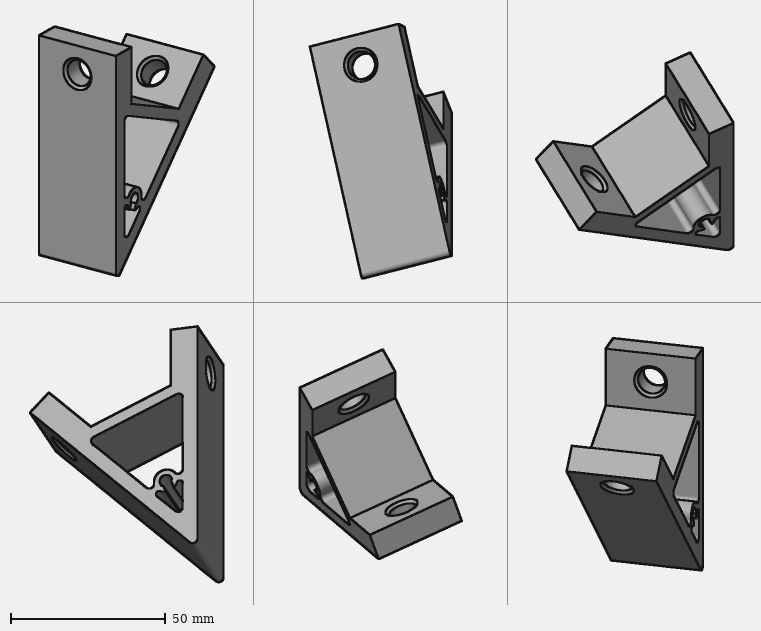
import cadquery as cq
import math

width = 30.2
height = 77.9
half_angle = 22.5
sine = math.sin(math.radians(half_angle))
cosine = math.cos(math.radians(half_angle))

pad_thickness = 9.0
pad_length = 20.0
wall_thickness = 5.0
web_thickness = 4.0
corner_radius = 1.5

hole_diameter = 9.0
hole_chamfer = 1.0
hole_from_end = 10.0

ring_height = 28.0
ring_radius = 4.0
ring_bore_radius = 2.0
slot_width = 2.95
upper_valley_radius = corner_radius
lower_valley_radius = 1.0

tip_loss = corner_radius * (1 / math.tan(math.radians(half_angle)) - 1)
leg_length = height + tip_loss


def leg_point(side, along, depth):
    """Profile point at a distance along a leg's outer face and a depth inside that face."""
    return (side * (along * sine - depth * cosine), along * cosine + depth * sine)


def prism(points):
    return cq.Workplane("YZ").polyline(points).close().extrude(width / 2, both=True)


def cylinder(center, radius):
    return cq.Workplane("YZ").center(*center).circle(radius).extrude(width / 2, both=True)


def make_frame():
    """Both legs and the cross web, with a rounded triangular window."""
    pad_start = leg_length - pad_length
    half_outline = [
        (leg_length, 0),
        (leg_length, pad_thickness),
        (pad_start, pad_thickness),
    ]
    right = [leg_point(1, *place) for place in half_outline]
    left = [leg_point(-1, *place) for place in reversed(half_outline)]
    body = prism([(0, 0)] + right + left)
    body = body.edges("|X").edges("<Z").fillet(corner_radius)

    window_top = leg_point(1, pad_start, pad_thickness)[1] - web_thickness
    window_tip = wall_thickness / sine
    window_half = (window_top - window_tip) * sine / cosine
    window = prism([(0, window_tip), (window_half, window_top), (-window_half, window_top)])
    return body.cut(window.edges("|X").fillet(corner_radius))


def valley_place(radius, direction):
    """Distance along the leg, and depth, of a round touching both the wall and the ring."""
    ring_along = ring_height * cosine
    ring_depth = ring_height * sine
    depth = wall_thickness + radius
    offset = math.sqrt((ring_radius + radius) ** 2 - (ring_depth - depth) ** 2)
    return ring_along + direction * offset, depth


def make_ring():
    """Slotted ring joined to each leg by a neck with concave rounds above and below."""
    center = (0, ring_height)
    ring = cylinder(center, ring_radius)
    upper_along, upper_depth = valley_place(upper_valley_radius, 1)
    lower_along, lower_depth = valley_place(lower_valley_radius, -1)
    root_depth = wall_thickness / 2
    for side in (-1, 1):
        upper = leg_point(side, upper_along, upper_depth)
        lower = leg_point(side, lower_along, lower_depth)
        upper_root = leg_point(side, upper_along, root_depth)
        lower_root = leg_point(side, lower_along, root_depth)
        neck = prism([center, upper, upper_root, lower_root, lower])
        neck = neck.cut(cylinder(upper, upper_valley_radius))
        neck = neck.cut(cylinder(lower, lower_valley_radius))
        ring = ring.union(neck)

    slot_bottom = ring_height - ring_radius
    slot = prism([
        (-slot_width / 2, slot_bottom),
        (slot_width / 2, slot_bottom),
        (slot_width / 2, ring_height),
        (-slot_width / 2, ring_height),
    ])
    return ring.cut(cylinder(center, ring_bore_radius)).cut(slot)


def make_hole_cutter():
    """Hole through the front pad, chamfered on both faces."""
    bore = hole_diameter / 2
    rim = bore + hole_chamfer
    cutter = (
        cq.Workplane("XY")
        .polyline([
            (0, 0),
            (rim, 0),
            (bore, hole_chamfer),
            (bore, pad_thickness - hole_chamfer),
            (rim, pad_thickness),
            (0, pad_thickness),
        ])
        .close()
        .revolve(360, (0, 0, 0), (0, 1, 0))
    )
    upright = cutter.translate((0, 0, leg_length - hole_from_end))
    return upright.rotate((0, 0, 0), (1, 0, 0), half_angle)


front_hole = make_hole_cutter()
bracket = make_frame().union(make_ring())
bracket = bracket.cut(front_hole).cut(front_hole.mirror("XZ"))

result = bracket.rotate((0, 0, 0), (1, 0, 0), -half_angle).translate((0, 0, -tip_loss))